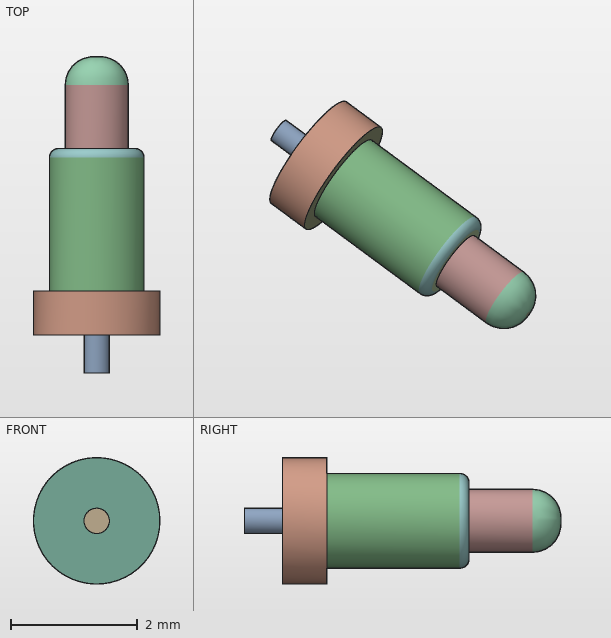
import cadquery as cq

tail_diameter = 0.4
tail_length = 0.6
flange_diameter = 2.0
flange_length = 0.7
barrel_diameter = 1.5
barrel_length = 2.25
barrel_rounding = 0.15
plunger_diameter = 1.0
plunger_length = 1.45
plunger_rounding = 0.45


def round_section(diameter, start, length):
    """Cylinder along +Y, beginning at Y = start."""
    plane = cq.Workplane("XZ", origin=(0, start, 0))
    return plane.circle(diameter / 2).extrude(-length)


barrel_start = flange_length
plunger_start = barrel_start + barrel_length

tail = round_section(tail_diameter, -tail_length, tail_length)
flange = round_section(flange_diameter, 0, flange_length)
barrel = round_section(barrel_diameter, barrel_start, barrel_length)
barrel = barrel.faces(">Y").edges().fillet(barrel_rounding)
plunger = round_section(plunger_diameter, plunger_start, plunger_length)
plunger = plunger.faces(">Y").edges().fillet(plunger_rounding)

result = flange.union(tail).union(barrel).union(plunger)